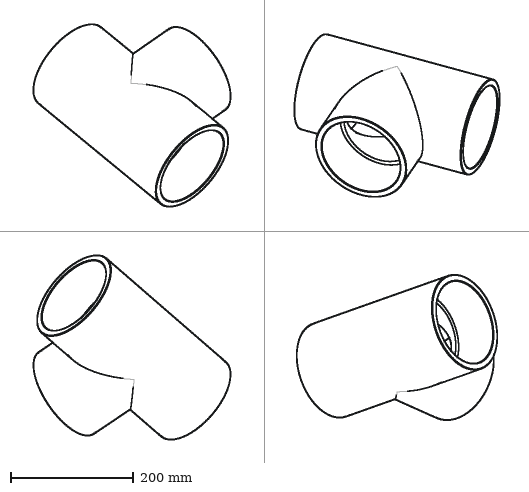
import cadquery as cq

outer_diameter = 162.0
socket_diameter = 140.0
bore_diameter = 126.0
run_length = 298.0
socket_depth = 76.0
edge_chamfer = 1.0

arm_length = run_length / 2


def arm_cylinder(direction, diameter, start, length):
    """Cylinder along an arm, beginning at a distance from the tee centre."""
    axis = cq.Vector(*direction)
    return cq.Workplane(cq.Solid.makeCylinder(diameter / 2, length, axis * start, axis))


def mouth_chamfer(direction):
    """Cone that widens the socket mouth at the open end of an arm."""
    axis = cq.Vector(*direction)
    cone = cq.Solid.makeCone(
        socket_diameter / 2,
        socket_diameter / 2 + edge_chamfer,
        edge_chamfer,
        axis * (arm_length - edge_chamfer),
        axis,
    )
    return cq.Workplane(cone)


def tee_body():
    """Run along X and branch along +Y, with the outer edges of the ends chamfered."""
    run = arm_cylinder((1, 0, 0), outer_diameter, -arm_length, run_length)
    branch = arm_cylinder((0, 1, 0), outer_diameter, 0, arm_length)
    run = run.faces("<X or >X").chamfer(edge_chamfer)
    branch = branch.faces(">Y").chamfer(edge_chamfer)
    return run.union(branch)


def cut_arm(body, direction):
    """Open one arm with its bore, its socket and the chamfered socket mouth."""
    body = body.cut(arm_cylinder(direction, bore_diameter, 0, arm_length))
    socket_start = arm_length - socket_depth
    body = body.cut(arm_cylinder(direction, socket_diameter, socket_start, socket_depth))
    return body.cut(mouth_chamfer(direction))


tee = tee_body()
for arm_direction in [(1, 0, 0), (-1, 0, 0), (0, 1, 0)]:
    tee = cut_arm(tee, arm_direction)

result = tee